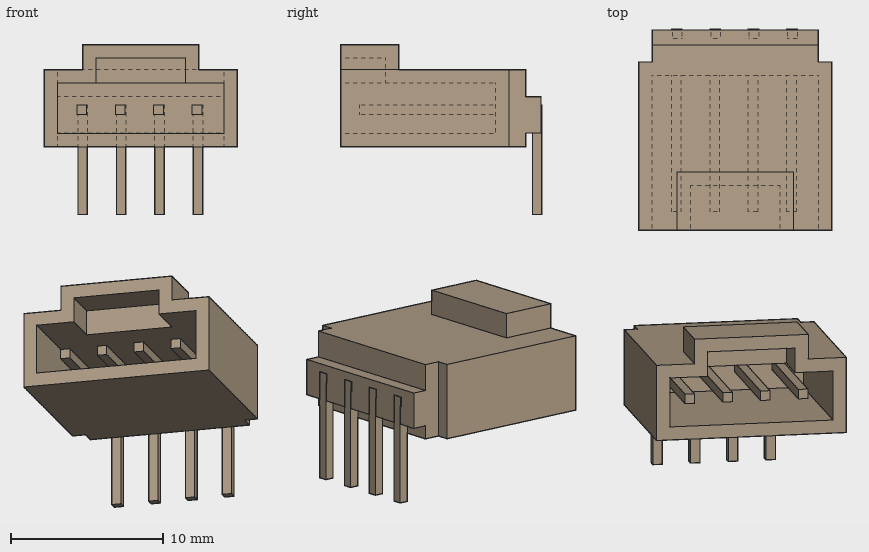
import cadquery as cq

width = 12.7
length = 13.23
height = 11.18

wall = 0.89
housing_height = 5.07
shoulder_y = 11.06
housing_back_y = 12.17
neck_width = width - 2 * wall

key_width = 7.62
key_height = 1.65
key_length = 3.82

ledge_bottom = 0.9
ledge_top = 3.31
ledge_back_y = 13.18

pin_count = 4
pin_pitch = 2.53
pin_size = 0.64
contact_offset = -0.09
tail_offset = -0.03
contact_tip_y = 1.23
pin_top = 2.77
pin_drop = height - housing_height - key_height


def block(block_width, y_start, y_end, z_start, z_end, x_center=0.0):
    """Rectangular block centred on x_center between the given Y and Z limits."""
    return (
        cq.Workplane("XY")
        .box(block_width, y_end - y_start, z_end - z_start, centered=(True, False, False))
        .translate((x_center, y_start, z_start))
    )


def make_housing():
    """Stepped housing with its key and rear ledge, still solid inside."""
    body = block(width, 0, shoulder_y, 0, housing_height)
    neck = block(neck_width, 0, housing_back_y, 0, housing_height)
    ledge = block(neck_width, 0, ledge_back_y, ledge_bottom, ledge_top)
    key = block(key_width, 0, key_length, 0, housing_height + key_height)
    return body.union(neck).union(ledge).union(key)


def make_cavity():
    """Mating cavity, widened upwards by the recess inside the key."""
    main = block(neck_width, 0, shoulder_y - wall, wall, housing_height - wall)
    recess = block(key_width - 2 * wall, 0, key_length - wall, wall, housing_height + key_height - wall)
    return main.union(recess)


def make_pin(x_position):
    """Right-angle pin: a contact along Y and a tail hanging down at the back."""
    contact = block(
        pin_size, contact_tip_y, length, pin_top - pin_size, pin_top, x_position + contact_offset
    )
    tail = block(pin_size, length - pin_size, length, -pin_drop, pin_top, x_position + tail_offset)
    return contact.union(tail)


result = make_housing().cut(make_cavity())
for index in range(pin_count):
    result = result.union(make_pin((index - (pin_count - 1) / 2) * pin_pitch))